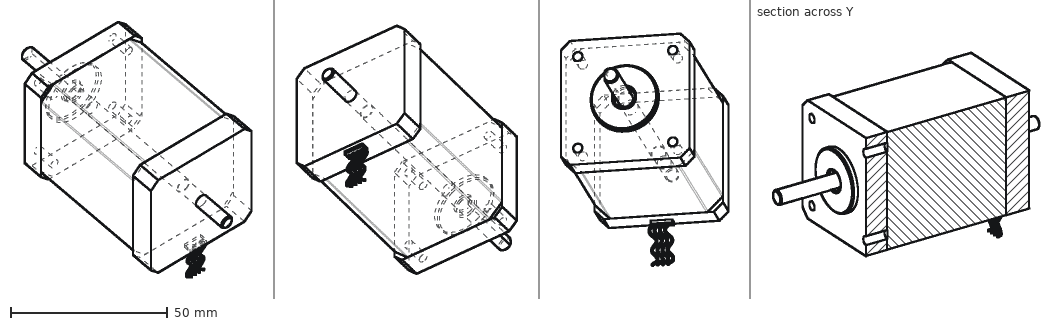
import cadquery as cq

front_shaft_length = 24.0
front_cap_length = 8.2
motor_length = 63.0
rear_cap_length = 9.0
rear_shaft_length = 13.0

front_face_x = front_shaft_length
rear_face_x = front_face_x + motor_length
stator_start_x = front_face_x + front_cap_length
stator_end_x = rear_face_x - rear_cap_length

cap_width = 42.0
cap_chamfer = 3.0
screw_spacing = 31.0
screw_hole_diameter = 3.0

pilot_diameter = 22.0
pilot_height = 2.0
pilot_chamfer = 0.5
opening_diameter = 7.0
opening_chamfer = 0.5
opening_depth = 2.0
pilot_face_x = front_face_x - pilot_height
opening_floor_x = pilot_face_x + opening_depth

stator_width = 41.9
stator_chamfer = 5.0
stator_edge_radius = 0.8

shaft_diameter = 5.0
rear_shaft_diameter = 4.5
shaft_flat_offset = 2.0
shaft_chamfer = 0.4

plug_length = 3.0
plug_width = 7.0
plug_height = 1.0
plug_inset = 3.0
plug_x = rear_face_x - plug_inset
plug_bottom_z = -cap_width / 2 - plug_height
wire_diameter = 0.6
wire_count = 4
wire_pitch = 1.7
wire_start = (-0.5, -0.2)
wire_bends = [(1.7, 2.0), (-0.7, 5.5), (0.85, 8.6), (-1.0, 11.8)]
wire_end = (0.85, 13.6)
wire_start_direction = (1, -0.3)
wire_end_direction = (1, -1)


def square_bar(start_x, end_x, width):
    """Square bar along X, centred on the motor axis."""
    return (
        cq.Workplane("YZ", origin=(start_x, 0, 0))
        .rect(width, width)
        .extrude(end_x - start_x)
    )


def rod(start_x, end_x, diameter):
    """Round rod along X, centred on the motor axis."""
    return (
        cq.Workplane("YZ", origin=(start_x, 0, 0))
        .circle(diameter / 2)
        .extrude(end_x - start_x)
    )


def make_cap_blank(start_x, end_x):
    """Square end cap with chamfered corners, before any holes."""
    return square_bar(start_x, end_x, cap_width).edges("|X").chamfer(cap_chamfer)


def make_front_cap():
    """Front cap with its pilot boss, shaft opening and screw holes."""
    pilot = rod(pilot_face_x, front_face_x, pilot_diameter).faces("<X").chamfer(pilot_chamfer)
    cap = make_cap_blank(front_face_x, stator_start_x).union(pilot)
    opening = rod(pilot_face_x, opening_floor_x, opening_diameter)
    cap = cap.cut(opening)
    cap = cap.faces("<X").edges(cq.selectors.RadiusNthSelector(0)).chamfer(opening_chamfer)
    screw_holes = (
        cq.Workplane("YZ", origin=(front_face_x, 0, 0))
        .rect(screw_spacing, screw_spacing, forConstruction=True)
        .vertices()
        .circle(screw_hole_diameter / 2)
        .extrude(front_cap_length)
    )
    return cap.cut(screw_holes).cut(rod(opening_floor_x, stator_start_x, shaft_diameter))


def make_stator():
    """Stator stack with chamfered corners whose edges are rounded."""
    stator = square_bar(stator_start_x, stator_end_x, stator_width)
    stator = stator.edges("|X").chamfer(stator_chamfer).edges("|X").fillet(stator_edge_radius)
    return stator.cut(rod(stator_start_x, stator_end_x, shaft_diameter))


def make_rear_cap():
    """Plain rear cap with the bore for the rear shaft end."""
    bore = rod(stator_end_x, rear_face_x, rear_shaft_diameter)
    return make_cap_blank(stator_end_x, rear_face_x).cut(bore)


def make_shaft():
    """Shaft through the whole motor, flattened at the front and thinner from the rear cap on."""
    front = rod(0, stator_end_x, shaft_diameter).faces("<X").chamfer(shaft_chamfer)
    beyond_flat = (
        cq.Workplane("XY", origin=(0, shaft_flat_offset, 0))
        .box(opening_floor_x, shaft_diameter, shaft_diameter, centered=(False, False, True))
    )
    front = front.cut(beyond_flat)
    rear = rod(stator_end_x, rear_face_x + rear_shaft_length, rear_shaft_diameter)
    return front.union(rear.faces(">X").chamfer(shaft_chamfer))


def make_wire(start_y):
    """One wavy wire hanging from the plug, bending only sideways."""
    path_points = [wire_start, *wire_bends, wire_end]
    points = [cq.Vector(plug_x, start_y + side, plug_bottom_z - drop) for side, drop in path_points]
    down = cq.Vector(0, 0, -1)
    start_direction = cq.Vector(0, *wire_start_direction)
    end_direction = cq.Vector(0, *wire_end_direction)
    tangents = [start_direction] + [down] * len(wire_bends) + [end_direction]
    path = cq.Workplane(cq.Edge.makeSpline(points, tangents))
    profile_plane = cq.Plane(origin=points[0], xDir=(1, 0, 0), normal=start_direction)
    return cq.Workplane(profile_plane).circle(wire_diameter / 2).sweep(path)


def make_cable():
    """Plug and its wires as one body."""
    cable = cq.Workplane("XY", origin=(plug_x, 0, plug_bottom_z)).rect(plug_length, plug_width)
    cable = cable.extrude(plug_height)
    for index in range(wire_count):
        cable = cable.union(make_wire((index - (wire_count - 1) / 2) * wire_pitch))
    return cable


front_cap = make_front_cap()
stator = make_stator()
rear_cap = make_rear_cap()
shaft = make_shaft()
cable = make_cable()

result = cq.Compound.makeCompound(
    [body.solids().val() for body in (front_cap, stator, rear_cap, shaft, cable)]
)